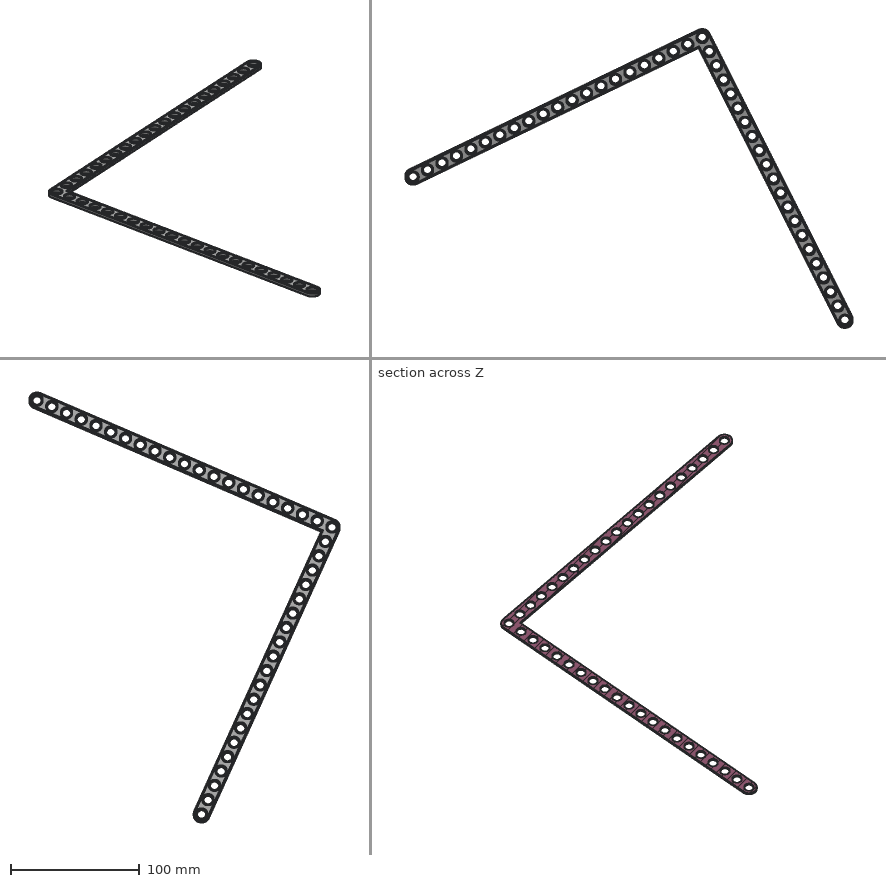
import cadquery as cq

side = 262.5
thickness = 3.2
hole_count = 21
hole_diameter = 7.0
collar_diameter = 9.2
edge_chamfer = 0.32
recess_depth = 0.3

pitch = side / hole_count
bar_width = pitch
leg_span = (hole_count - 1) * pitch
rim_width = (collar_diameter - hole_diameter) / 2


def round_ended_bar(width, height, angle):
    """Flat bar with full-round ends, running from the corner hole along the given angle."""
    bar = cq.Workplane("XY").center(leg_span / 2, 0).slot2D(leg_span + width, width).extrude(height)
    return bar.rotate((0, 0, 0), (0, 0, 1), angle)


def angle_plate(width, height):
    """L-shaped plate: one bar along X and one along Y, sharing the rounded corner."""
    return round_ended_bar(width, height, 0).union(round_ended_bar(width, height, 90))


def at_every_hole():
    """Workplane with a point at the corner hole and at each hole along both legs."""
    steps = [index * pitch for index in range(1, hole_count)]
    along_x = [(step, 0) for step in steps]
    along_y = [(0, step) for step in steps]
    return cq.Workplane("XY").pushPoints([(0, 0)] + along_x + along_y)


def recess():
    """Shallow recess that leaves a rim along the outline and a collar around each hole."""
    collars = at_every_hole().circle(collar_diameter / 2).extrude(recess_depth)
    return angle_plate(bar_width - 2 * rim_width, recess_depth).cut(collars)


def chamfered_holes():
    """Through-hole cutters that flare out at both faces of the plate."""
    radius = hole_diameter / 2
    flared_radius = radius + edge_chamfer
    cutter = (
        cq.Workplane("XZ")
        .lineTo(flared_radius, 0)
        .lineTo(radius, edge_chamfer)
        .lineTo(radius, thickness - edge_chamfer)
        .lineTo(flared_radius, thickness)
        .lineTo(0, thickness)
        .close()
        .revolve(360, (0, 0, 0), (0, 1, 0))
        .val()
    )
    return at_every_hole().eachpoint(lambda location: cutter.moved(location))


plate = angle_plate(bar_width, thickness).faces(">Z or <Z").edges().chamfer(edge_chamfer)

for floor_offset in (0, thickness - recess_depth):
    plate = plate.cut(recess().translate((0, 0, floor_offset)))

result = plate.cut(chamfered_holes())